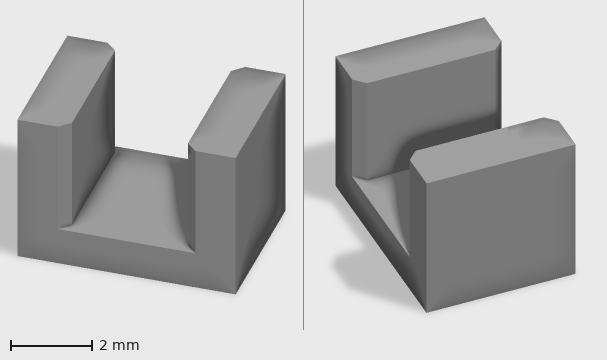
import cadquery as cq

length = 5.65
depth = 4.0
height = 4.0

slot_width = 3.0
floor_thickness = 1.0
wall_height = height - floor_thickness
wall_thickness = (length - slot_width) / 2

mouth_chamfer = 0.28


def make_floor():
    return cq.Workplane("XY").box(length, depth, floor_thickness, centered=(True, True, False))


def make_wall(side):
    """Upright wall on the -X (side = -1) or +X (side = 1) end of the floor."""
    wall_center = side * (length - wall_thickness) / 2
    inner_edges = "|Z and <X" if side > 0 else "|Z and >X"
    return (
        cq.Workplane("XY", origin=(wall_center, 0, floor_thickness))
        .box(wall_thickness, depth, wall_height, centered=(True, True, False))
        .edges(inner_edges)
        .chamfer(mouth_chamfer)
    )


result = make_floor()
for side in (-1, 1):
    result = result.union(make_wall(side))